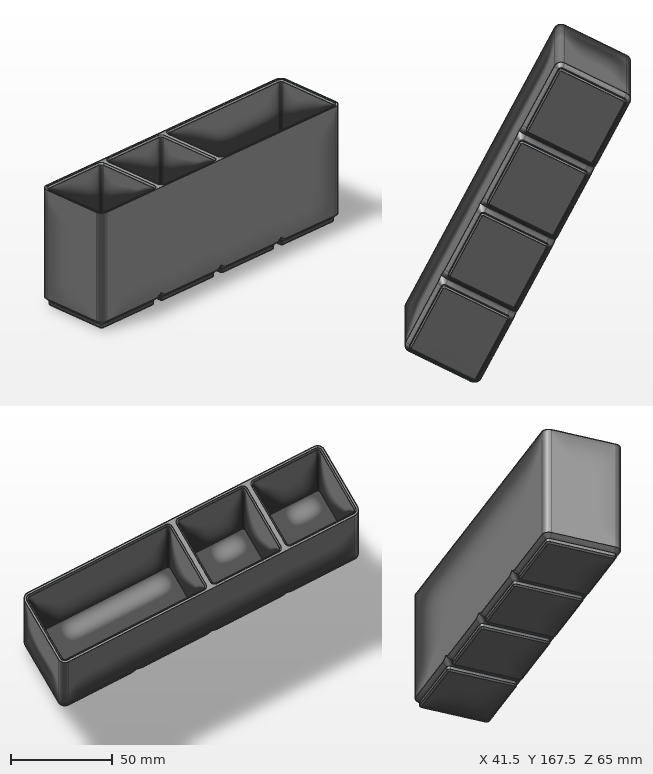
import cadquery as cq
import math

width = 41.5
length = 167.5
height = 65.0
corner_radius = 3.7

unit_count = 4
pitch = (length - width) / (unit_count - 1)

low_chamfer = 0.8
straight_band = 1.8
high_chamfer = 2.2
foot_height = low_chamfer + straight_band + high_chamfer

compartment_spans = (1, 1, 2)
rim_thickness = 1.2
divider_thickness = 2.5
rim_chamfer = 0.8
compartment_corner_radius = 1.5
floor_height = 7.0
rim_width = width - 2 * rim_thickness
cell_length = (length - 2 * rim_thickness - (unit_count - 1) * divider_thickness) / unit_count

side_gap = pitch / 2 - (width / 2 - corner_radius)
flare_height = math.hypot(corner_radius, side_gap) - corner_radius


def rounded_frustum(size_x, size_y, radius, base_z, rise, spread):
    """Rounded rectangle at base_z that grows by spread on every side over rise."""
    bottom = cq.Sketch().rect(size_x, size_y).vertices().fillet(radius)
    top = cq.Sketch().rect(size_x + 2 * spread, size_y + 2 * spread)
    top = top.vertices().fillet(radius + spread)
    raised_top = top.moved(cq.Location(cq.Vector(0, 0, rise)))
    return cq.Workplane("XY", origin=(0, 0, base_z)).placeSketch(bottom, raised_top).loft()


def rounded_block(size_x, size_y, radius, base_z, rise):
    """Upright block with rounded vertical edges."""
    outline = cq.Sketch().rect(size_x, size_y).vertices().fillet(radius)
    return cq.Workplane("XY", origin=(0, 0, base_z)).placeSketch(outline).extrude(rise)


def make_foot():
    band_width = width - 2 * high_chamfer
    band_radius = corner_radius - high_chamfer
    ground_width = band_width - 2 * low_chamfer
    ground_radius = band_radius - low_chamfer
    band_top = low_chamfer + straight_band
    low = rounded_frustum(ground_width, ground_width, ground_radius, 0, low_chamfer, low_chamfer)
    band = rounded_block(band_width, band_width, band_radius, low_chamfer, straight_band)
    flare = high_chamfer + flare_height
    high = rounded_frustum(band_width, band_width, band_radius, band_top, flare, flare)
    return low.union(band).union(high)


def compartment_length(span):
    """Length along Y at the rim, including the divider space it swallows."""
    return span * cell_length + (span - 1) * divider_thickness


def make_compartment(rim_x, rim_y):
    """Cutter for one compartment, centred on the Z axis, with a chamfered mouth."""
    inner_x = rim_x - 2 * rim_chamfer
    inner_y = rim_y - 2 * rim_chamfer
    radius = compartment_corner_radius
    mouth_base = height - rim_chamfer
    well = rounded_block(inner_x, inner_y, radius, floor_height, mouth_base - floor_height)
    mouth = rounded_frustum(inner_x, inner_y, radius, mouth_base, rim_chamfer, rim_chamfer)
    return well.union(mouth)


foot = make_foot()
block_base = foot_height + flare_height
body = rounded_block(width, length, corner_radius, block_base, height - block_base)
for unit in range(unit_count):
    foot_y = (unit - (unit_count - 1) / 2) * pitch
    body = body.union(foot.translate((0, foot_y, 0)))
body = body.intersect(rounded_block(width, length, corner_radius, 0, height))

start_y = -length / 2 + rim_thickness
for span in compartment_spans:
    rim_y = compartment_length(span)
    cutter = make_compartment(rim_width, rim_y)
    body = body.cut(cutter.translate((0, start_y + rim_y / 2, 0)))
    start_y += rim_y + divider_thickness

result = body